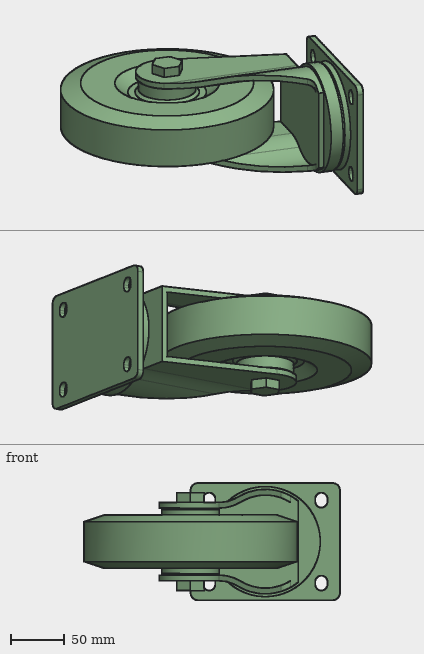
import cadquery as cq
import math


wheel_radius = 100.0
wheel_half_width = 25.0
tread_half_width = 18.5
face_radius = 81.0
recess_radius = 49.0
recess_floor_radius = 36.8
recess_depth = 9.0
hub_foot_radius = 30.1
hub_radius = 27.0
hub_foot_height = 3.0
hub_half_width = 30.0

axle_radius = 10.0
bolt_across_corners = 29.6
bolt_head_height = 9.0

plate_length = 140.1
plate_width = 110.0
plate_thickness = 6.1
plate_top = 245 - wheel_radius
plate_bottom = plate_top - plate_thickness
corner_radius = 7.0
hole_spacing_x = 105.0
hole_spacing_z = 77.7
hole_width = 11.3
hole_length = 13.7

swivel_x = plate_length / 2
swivel_radius = 51.57
groove_radius = 49.7
groove_y = 134.0
groove_lower_y = 131.5
fork_top = 119.5

leg_outer = 36.8
leg_thickness = 5.5
web_thickness = 5.1
web_bottom = fork_top - web_thickness
fork_left = -3.0
fork_right = 101.2
fork_end_radius = 29.5
sloped_edge_x = 87.5
web_fillet = 9.8
bend_x = 26.5
bulge_radius = 49.0


def polar(radius, angle):
    return (radius * math.cos(angle), radius * math.sin(angle))


def make_wheel():
    floor_z = wheel_half_width - recess_depth
    half_profile = [
        (hub_radius, hub_half_width),
        (hub_radius, floor_z + hub_foot_height),
        (hub_foot_radius, floor_z),
        (recess_floor_radius, floor_z),
        (recess_radius, wheel_half_width),
        (face_radius, wheel_half_width),
        (wheel_radius, tread_half_width),
    ]
    mirrored = [(r, -z) for r, z in reversed(half_profile)]
    outline = [(0, hub_half_width)] + half_profile + mirrored + [(0, -hub_half_width)]
    return cq.Workplane("XZ").polyline(outline).close().revolve(360, (0, 0), (0, 1))


def make_axle():
    axle = cq.Workplane("XY").circle(axle_radius).extrude(leg_outer, both=True)
    for start, height in ((leg_outer, bolt_head_height), (-leg_outer, -bolt_head_height)):
        head = (
            cq.Workplane("XY", origin=(0, 0, start))
            .transformed(rotate=(0, 0, 90))
            .polygon(6, bolt_across_corners)
            .extrude(height)
        )
        axle = axle.union(head)
    return axle


def make_mounting_plate():
    base = cq.Workplane("XZ", origin=(swivel_x, plate_top, 0))
    plate = base.rect(plate_length, plate_width).extrude(plate_thickness).edges("|Y").fillet(corner_radius)
    holes = (
        base.rect(hole_spacing_x, hole_spacing_z, forConstruction=True)
        .vertices()
        .slot2D(hole_length, hole_width, 90)
        .extrude(plate_thickness)
    )
    return plate.cut(holes)


def make_bearing():
    outline = [
        (0, fork_top),
        (swivel_radius, fork_top),
        (swivel_radius, groove_lower_y),
        (groove_radius, groove_y),
        (swivel_radius, plate_bottom),
        (0, plate_bottom),
    ]
    bearing = cq.Workplane("XY").polyline(outline).close().revolve(360, (0, 0), (0, 1))
    return bearing.translate((swivel_x, 0, 0))


def end_tangent_angle(x, y, side):
    """Angle on the fork end where the tangent to (x, y) touches; side is +1 or -1."""
    return math.atan2(y, x) + side * math.acos(fork_end_radius / math.hypot(x, y))


def make_side_outline():
    """Fork outline seen along Z, extruded beyond the full width of the fork."""
    left_tangent = polar(fork_end_radius, end_tangent_angle(fork_left, fork_top, 1))
    right_tangent = polar(fork_end_radius, end_tangent_angle(sloped_edge_x, web_bottom, -1))
    slab = (
        cq.Workplane("XY")
        .moveTo(fork_left, fork_top)
        .lineTo(*left_tangent)
        .threePointArc((0, -fork_end_radius), right_tangent)
        .lineTo(sloped_edge_x, web_bottom)
        .lineTo(fork_right, web_bottom)
        .lineTo(fork_right, fork_top)
        .close()
        .extrude(plate_width / 2, both=True)
    )
    web_corner = cq.selectors.NearestToPointSelector((sloped_edge_x, web_bottom, 0))
    return slab.edges(web_corner).fillet(web_fillet)


def make_leg_section(inset):
    """Solid between the two leg surfaces, moved inward by inset, running along Y."""
    reach = swivel_x - bend_x
    bend_radius = (reach**2 + leg_outer**2 - bulge_radius**2) / (2 * (bulge_radius - leg_outer))
    bend_angle = math.asin(reach / (bulge_radius + bend_radius))
    bend_center_z = leg_outer + bend_radius
    radius = bend_radius + inset
    wrap_radius = bulge_radius - inset
    flat_z = leg_outer - inset

    def bend_point(angle):
        return (bend_x + radius * math.sin(angle), bend_center_z - radius * math.cos(angle))

    end_z = math.sqrt(wrap_radius**2 - (fork_right - swivel_x) ** 2)
    half = (
        cq.Workplane("XZ")
        .moveTo(-fork_end_radius, 0)
        .lineTo(-fork_end_radius, flat_z)
        .lineTo(bend_x, flat_z)
        .threePointArc(bend_point(bend_angle / 2), bend_point(bend_angle))
        .threePointArc((swivel_x, wrap_radius), (fork_right, end_z))
        .lineTo(fork_right, 0)
        .close()
        .extrude(fork_top + fork_end_radius)
        .translate((0, fork_top, 0))
    )
    return half.union(half.mirror("XY"))


def make_fork():
    gap = make_leg_section(leg_thickness).translate((0, -web_thickness, 0))
    return make_leg_section(0).cut(gap).intersect(make_side_outline())


result = (
    make_wheel()
    .union(make_axle())
    .union(make_fork())
    .union(make_bearing())
    .union(make_mounting_plate())
)